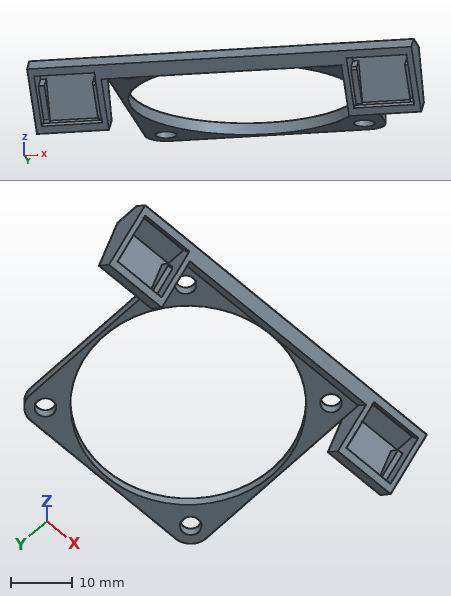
import cadquery as cq

length = 64.0
depth = 43.0
height = 10.5

plate_width = 40.0
plate_thickness = 2.0
corner_radius = 3.5
opening_diameter = 38.5
hole_diameter = 3.5
hole_spacing = 33.0

wall = plate_thickness / 2
foot_top_back = 6.5
foot_end_leg = 2.4

lip_height = 0.4
lip_thickness = 1.0
ledge_width = wall
ledge_length = 6.65
ledge_depth = 2.25
ledge_bevel = 0.4

foot_width = (length - plate_width) / 2
foot_x = -length / 2
foot_drop = height - plate_thickness
mouth_start = wall
mouth_end = foot_drop * 2**0.5 - wall
opening_y = depth - plate_width / 2
opening_front_y = opening_y - opening_diameter / 2
rib_drop = opening_front_y / 2
through_reach = height


def side_prism(points, x_start, width):
    """Extrude a (Y, Z) outline along X."""
    plane = cq.Plane(origin=(x_start, 0, 0), xDir=(0, 1, 0), normal=(1, 0, 0))
    return cq.Workplane(plane).polyline(points).close().extrude(width)


def pocket_prism(points, x_start, width):
    """Extrude along X an outline given as (distance down the 45 degree face, depth behind it)."""
    plane = cq.Plane(origin=(x_start, 0, -plate_thickness), xDir=(0, 1, -1), normal=(1, 0, 0))
    return cq.Workplane(plane).polyline(points).close().extrude(width)


def make_plate():
    outline = [
        (0, -plate_thickness),
        (plate_thickness, 0),
        (depth, 0),
        (depth, -plate_thickness),
        (opening_front_y, -plate_thickness),
        (rib_drop, -plate_thickness - rib_drop),
    ]
    body = side_prism(outline, -plate_width / 2, plate_width)
    body = body.edges("|Z and >Y").fillet(corner_radius)

    centre = cq.Workplane("XY").center(0, opening_y)
    opening = centre.circle(opening_diameter / 2).extrude(-through_reach)
    holes = (
        centre.rect(hole_spacing, hole_spacing, forConstruction=True)
        .vertices()
        .circle(hole_diameter / 2)
        .extrude(-through_reach)
    )
    return body.cut(opening).cut(holes)


def make_lip(start):
    """Retaining lip across the pocket mouth, flush with the 45 degree face."""
    end = start + lip_height
    outline = [(start, 0), (end, 0), (end, lip_thickness), (start, lip_thickness)]
    return pocket_prism(outline, foot_x + wall, foot_width - 2 * wall)


def make_outer_ledge():
    """Ledge on the outer side wall, with a bevelled fill where it meets the lower wall."""
    start = mouth_end - ledge_length
    outline = [
        (start, ledge_depth),
        (mouth_end - ledge_bevel, ledge_depth),
        (mouth_end, ledge_depth - ledge_bevel),
        (mouth_end, through_reach),
        (start, through_reach),
    ]
    return pocket_prism(outline, foot_x + wall, ledge_width)


def make_inner_ledge():
    """Ledge on the inner side wall, with its upper end bevelled."""
    start = mouth_end - ledge_length
    outline = [
        (start, ledge_depth + ledge_bevel),
        (start + ledge_bevel, ledge_depth),
        (mouth_end, ledge_depth),
        (mouth_end, through_reach),
        (start, through_reach),
    ]
    return pocket_prism(outline, foot_x + foot_width - wall - ledge_width, ledge_width)


def make_foot():
    outline = [
        (0, -plate_thickness),
        (plate_thickness, 0),
        (foot_top_back, 0),
        (foot_drop + foot_end_leg, foot_end_leg - height),
        (foot_drop, -height),
    ]
    body = side_prism(outline, foot_x, foot_width)
    foot = body.faces(">(0,-1,-1)").shell(-wall)

    foot = foot.union(make_lip(mouth_start))
    foot = foot.union(make_lip(mouth_end - lip_height))
    for ledge in (make_outer_ledge(), make_inner_ledge()):
        foot = foot.union(ledge.intersect(body))
    return foot


left_foot = make_foot()
right_foot = left_foot.mirror("YZ")
result = make_plate().union(left_foot).union(right_foot)